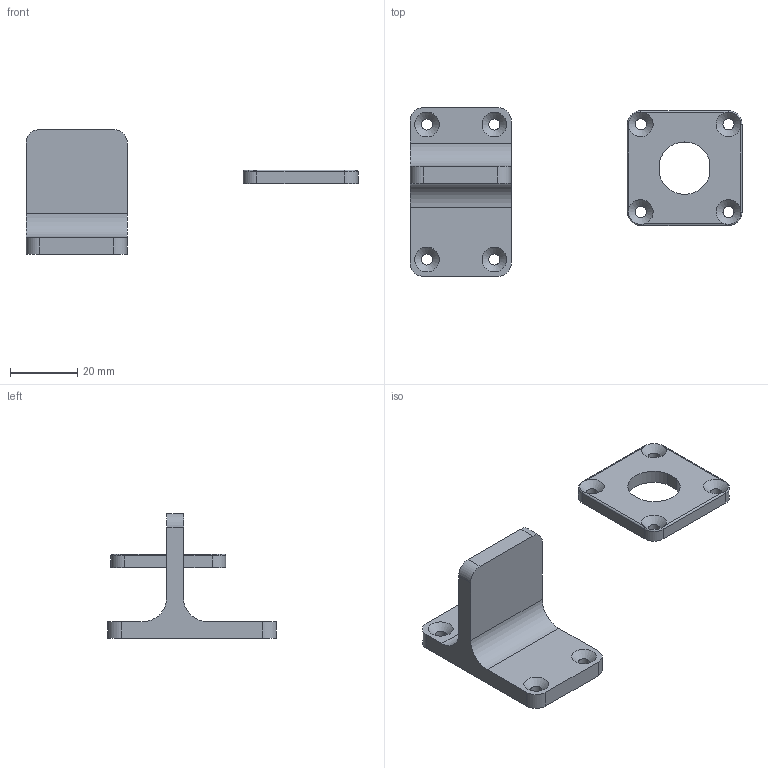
import cadquery as cq

screw_diameter = 3.3
countersink_diameter = 7.3
countersink_angle = 90

corner_radius = 4

bracket_width = 30
base_length = 50
base_thickness = 5
bracket_height = 37
wall_thickness = 5
wall_center_y = 5
wall_fillet_radius = 7
bracket_hole_spacing_x = 20
bracket_hole_spacing_y = 40

overall_length_x = 98.39
cover_size = 34
cover_thickness = 4
cover_bottom_z = 21
cover_center_x = overall_length_x - bracket_width / 2 - cover_size / 2
cover_center_y = 7.03
cover_edge_fillet = 0.5
cover_hole_spacing = 26
opening_diameter = 15.5
opening_width = 15


def drill_countersunk_holes(body, spacing_x, spacing_y):
    """Drill four countersunk screw holes down from the current workplane."""
    return body.rarray(spacing_x, spacing_y, 2, 2).cskHole(
        screw_diameter, countersink_diameter, countersink_angle
    )


def make_bracket():
    """T-profile bracket with rounded corners and four screw holes."""
    wall_front = wall_center_y - wall_thickness / 2
    wall_back = wall_center_y + wall_thickness / 2
    fillet_top = base_thickness + wall_fillet_radius

    profile = (
        cq.Workplane("YZ", origin=(-bracket_width / 2, 0, 0))
        .moveTo(-base_length / 2, 0)
        .lineTo(base_length / 2, 0)
        .lineTo(base_length / 2, base_thickness)
        .lineTo(wall_back + wall_fillet_radius, base_thickness)
        .radiusArc((wall_back, fillet_top), wall_fillet_radius)
        .lineTo(wall_back, bracket_height)
        .lineTo(wall_front, bracket_height)
        .lineTo(wall_front, fillet_top)
        .radiusArc((wall_front - wall_fillet_radius, base_thickness), wall_fillet_radius)
        .lineTo(-base_length / 2, base_thickness)
        .close()
    )
    body = profile.extrude(bracket_width)

    body = body.faces("<Y or >Y").edges("|Z").fillet(corner_radius)
    body = body.faces(">Z").edges("|Y").fillet(corner_radius)

    body = body.copyWorkplane(cq.Workplane("XY", origin=(0, 0, base_thickness)))
    return drill_countersunk_holes(body, bracket_hole_spacing_x, bracket_hole_spacing_y)


def make_cover():
    """Square plate with a flat-sided round opening and four screw holes."""
    bottom_center = (cover_center_x, cover_center_y, cover_bottom_z)
    top_center = (cover_center_x, cover_center_y, cover_bottom_z + cover_thickness)
    bottom_plane = cq.Workplane("XY", origin=bottom_center)

    body = bottom_plane.rect(cover_size, cover_size).extrude(cover_thickness)
    body = body.edges("|Z").fillet(corner_radius)
    body = body.faces(">Z").edges().fillet(cover_edge_fillet)

    round_opening = bottom_plane.circle(opening_diameter / 2).extrude(cover_thickness)
    flat_limits = bottom_plane.rect(opening_width, opening_diameter).extrude(cover_thickness)
    body = body.cut(round_opening.intersect(flat_limits))

    body = body.copyWorkplane(cq.Workplane("XY", origin=top_center))
    return drill_countersunk_holes(body, cover_hole_spacing, cover_hole_spacing)


bracket = make_bracket()
cover = make_cover()

result = cq.Compound.makeCompound([bracket.val(), cover.val()])